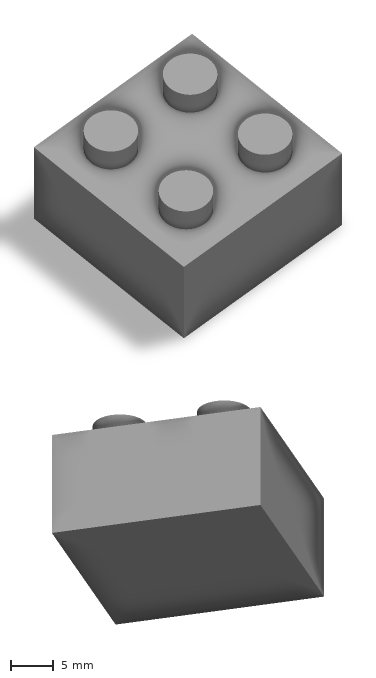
import cadquery as cq

body_side = 25.4
body_height = 12.7
studs_per_side = 2
stud_diameter = 6.35
stud_height = 3.18

stud_pitch = body_side / studs_per_side

body = cq.Workplane("XY").box(body_side, body_side, body_height, centered=(True, True, False))

result = (
    body.faces(">Z")
    .workplane()
    .rarray(stud_pitch, stud_pitch, studs_per_side, studs_per_side)
    .circle(stud_diameter / 2)
    .extrude(stud_height)
)